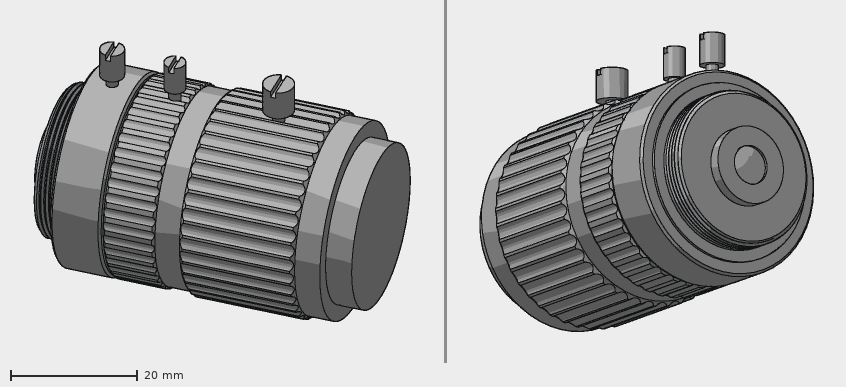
import cadquery as cq
import math


THREAD_START = 2.0
FLANGE_START = 5.85
REAR_RING_START = 6.35
REAR_RING_END = 14.9
FOCUS_RING_START = 15.2
FOCUS_RING_END = 23.95
ZOOM_RING_START = 28.1
ZOOM_RING_END = 47.55
BARREL_END = 51.8
HOOD_END = 56.2
LENS_TIP = 58.0

TAIL_RADIUS = 6.3
THREAD_RADIUS = 12.7
FLANGE_RADIUS = 14.55
REAR_RING_RADIUS = 16.75
GAP_RADIUS = 15.05
FOCUS_RING_RADIUS = 16.7
BARREL_RADIUS = 16.3
ZOOM_RING_RADIUS = 16.95
HOOD_RADIUS = 13.6
FRONT_LENS_RADIUS = 11.0

THREAD_CHAMFER = 0.7
REAR_RING_CHAMFER = 0.4
FOCUS_RING_CHAMFER = 0.4
ZOOM_RING_CHAMFER = 0.65

REAR_LENS_RADIUS = 3.15
REAR_LENS_EDGE_DEPTH = 0.5
REAR_LENS_TIP_DEPTH = 0.1

THREAD_PITCH = 25.4 / 32
THREAD_DEPTH = 0.45
THREAD_GROOVE_WIDTH = 0.7
THREAD_GROOVE_START = 1.52
THREAD_GROOVE_END = 5.4
THREAD_CLEARANCE = 0.02

FLUTE_COUNT = 42
FOCUS_FLUTE_WIDTH = 1.55
FOCUS_FLUTE_DEPTH = 0.35
ZOOM_FLUTE_WIDTH = 2.05
ZOOM_FLUTE_DEPTH = 0.5

SCREWS = [(10.8, 4.0), (21.4, 3.5), (38.9, 5.1)]
SCREW_TOP = 23.5
SCREW_HEAD_HEIGHT = 5.0
SCREW_SHANK_DIAMETER = 2.0
SCREW_SHANK_BOTTOM = 14.0
SCREW_SLOT_WIDTH = 0.85
SCREW_SLOT_DEPTH = 1.0


def revolve_about_x(profile):
    """Turn a closed XZ profile that touches the X axis into a solid."""
    return profile.close().revolve(360, (0, 0, 0), (1, 0, 0))


def chamfered_disc(start, end, radius, chamfer):
    """Disc along X with a 45 degree chamfer on both rims."""
    profile = (
        cq.Workplane("XZ")
        .moveTo(start, 0)
        .lineTo(start, radius - chamfer)
        .lineTo(start + chamfer, radius)
        .lineTo(end - chamfer, radius)
        .lineTo(end, radius - chamfer)
        .lineTo(end, 0)
    )
    return revolve_about_x(profile)


def dome_mid_point(edge_x, tip_x, edge_radius):
    """Point halfway along the arc from a dome's rim to its tip on the axis."""
    sag = tip_x - edge_x
    sphere_radius = (edge_radius**2 + sag**2) / (2 * abs(sag))
    half_angle = math.asin(edge_radius / sphere_radius) / 2
    drop = math.copysign(sphere_radius * (1 - math.cos(half_angle)), sag)
    return tip_x - drop, sphere_radius * math.sin(half_angle)


def turned_core():
    """Tail, thread blank, flange, barrel, hood and both lens surfaces."""
    rear_mid = dome_mid_point(REAR_LENS_EDGE_DEPTH, REAR_LENS_TIP_DEPTH, REAR_LENS_RADIUS)
    front_mid = dome_mid_point(HOOD_END, LENS_TIP, FRONT_LENS_RADIUS)
    profile = (
        cq.Workplane("XZ")
        .moveTo(REAR_LENS_TIP_DEPTH, 0)
        .threePointArc(rear_mid, (REAR_LENS_EDGE_DEPTH, REAR_LENS_RADIUS))
        .lineTo(0, REAR_LENS_RADIUS)
        .lineTo(0, TAIL_RADIUS)
        .lineTo(THREAD_START, TAIL_RADIUS)
        .lineTo(THREAD_START, THREAD_RADIUS - THREAD_CHAMFER)
        .lineTo(THREAD_START + THREAD_CHAMFER, THREAD_RADIUS)
        .lineTo(FLANGE_START, THREAD_RADIUS)
        .lineTo(FLANGE_START, FLANGE_RADIUS)
        .lineTo(REAR_RING_END, FLANGE_RADIUS)
        .lineTo(REAR_RING_END, GAP_RADIUS)
        .lineTo(FOCUS_RING_START, GAP_RADIUS)
        .lineTo(FOCUS_RING_START, BARREL_RADIUS)
        .lineTo(BARREL_END, BARREL_RADIUS)
        .lineTo(BARREL_END, HOOD_RADIUS)
        .lineTo(HOOD_END, HOOD_RADIUS)
        .lineTo(HOOD_END, FRONT_LENS_RADIUS)
        .threePointArc(front_mid, (LENS_TIP, 0))
    )
    return revolve_about_x(profile)


def thread_groove():
    """Helical V groove that cuts the mount thread."""
    outer_radius = THREAD_RADIUS + THREAD_CLEARANCE
    helix = cq.Wire.makeHelix(THREAD_PITCH, THREAD_GROOVE_END - THREAD_GROOVE_START, outer_radius)
    groove = (
        cq.Workplane("XZ")
        .moveTo(outer_radius, -THREAD_GROOVE_WIDTH / 2)
        .lineTo(THREAD_RADIUS - THREAD_DEPTH, 0)
        .lineTo(outer_radius, THREAD_GROOVE_WIDTH / 2)
        .close()
        .sweep(cq.Workplane(helix), isFrenet=True)
    )
    return groove.rotate((0, 0, 0), (0, 1, 0), 90).translate((THREAD_GROOVE_START, 0, 0))


def fluted_ring(start, end, radius, chamfer, flute_width, flute_depth):
    """Chamfered grip ring with scalloped flutes along its whole length."""
    half_width = flute_width / 2
    rim_height = math.sqrt(radius**2 - half_width**2)
    flute_floor = radius - flute_depth
    chord_depth = rim_height - flute_floor
    flute_radius = (half_width**2 + chord_depth**2) / (2 * chord_depth)
    half_pitch_angle = 180 / FLUTE_COUNT
    flutes = (
        cq.Workplane("YZ", origin=(start, 0, 0))
        .polarArray(flute_floor + flute_radius, half_pitch_angle, 360, FLUTE_COUNT)
        .circle(flute_radius)
        .extrude(end - start)
    )
    return chamfered_disc(start, end, radius, chamfer).cut(flutes)


def locking_screw(x, head_diameter):
    """Slotted cylinder-head screw standing along +Z."""
    head_bottom = SCREW_TOP - SCREW_HEAD_HEIGHT
    shank = (
        cq.Workplane("XY", origin=(x, 0, SCREW_SHANK_BOTTOM))
        .circle(SCREW_SHANK_DIAMETER / 2)
        .extrude(head_bottom - SCREW_SHANK_BOTTOM)
    )
    head = (
        cq.Workplane("XY", origin=(x, 0, head_bottom))
        .circle(head_diameter / 2)
        .extrude(SCREW_HEAD_HEIGHT)
    )
    slot = (
        cq.Workplane("XY", origin=(x, 0, SCREW_TOP - SCREW_SLOT_DEPTH))
        .rect(SCREW_SLOT_WIDTH, head_diameter)
        .extrude(SCREW_SLOT_DEPTH)
    )
    return shank.union(head.cut(slot))


rear_ring = chamfered_disc(REAR_RING_START, REAR_RING_END, REAR_RING_RADIUS, REAR_RING_CHAMFER)
focus_ring = fluted_ring(
    FOCUS_RING_START,
    FOCUS_RING_END,
    FOCUS_RING_RADIUS,
    FOCUS_RING_CHAMFER,
    FOCUS_FLUTE_WIDTH,
    FOCUS_FLUTE_DEPTH,
)
zoom_ring = fluted_ring(
    ZOOM_RING_START,
    ZOOM_RING_END,
    ZOOM_RING_RADIUS,
    ZOOM_RING_CHAMFER,
    ZOOM_FLUTE_WIDTH,
    ZOOM_FLUTE_DEPTH,
)

lens = turned_core().cut(thread_groove())
for ring in (rear_ring, focus_ring, zoom_ring):
    lens = lens.union(ring)
for screw_x, screw_head_diameter in SCREWS:
    lens = lens.union(locking_screw(screw_x, screw_head_diameter))

result = lens